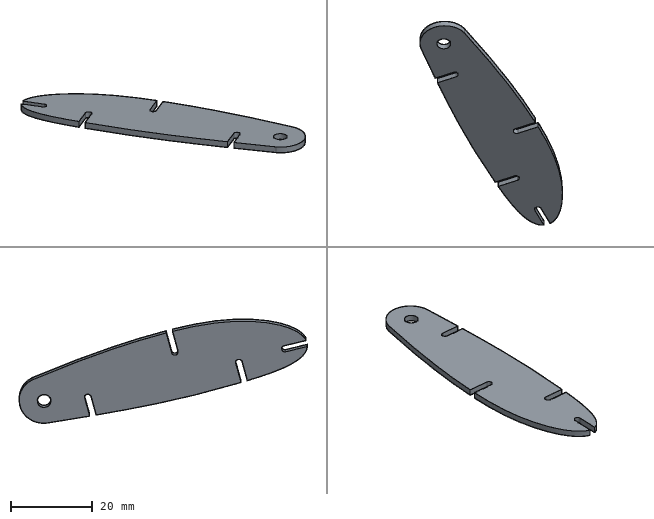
import cadquery as cq
import math


thickness = 1.6

chord = 102.4
section_depth = 17.55
thickness_ratio = section_depth / chord
camber_ratio = 0.03
camber_position = 0.26
tail_start_x = 67.15
tail_start = tail_start_x / chord
stations_per_side = 16

tail_tip_x = 72.2
tail_radius = 6.1
tail_y = 2.0
hole_diameter = 3.3
hole_x = tail_tip_x - tail_radius

slot_width = 1.6
slot_cutter_length = 14.45
nose_slot_end_x = 6.35
nose_slot_y = 0.5
upper_slot_x = 31.9
upper_slot_end_y = 5.6
lower_slots = [(17.4, 0.65), (55.5, 1.1)]


def half_thickness(s):
    """NACA four-digit half thickness at chord fraction s, as a fraction of the chord."""
    polynomial = 0.2969 * math.sqrt(s) - 0.126 * s - 0.3516 * s**2 + 0.2843 * s**3 - 0.1015 * s**4
    return 5 * thickness_ratio * polynomial


def camber(s):
    """Height and slope of the camber line at chord fraction s."""
    p = camber_position
    if s < p:
        scale = camber_ratio / p**2
        return scale * (2 * p * s - s**2), 2 * scale * (p - s)
    scale = camber_ratio / (1 - p) ** 2
    return scale * (1 - 2 * p + 2 * p * s - s**2), 2 * scale * (p - s)


def aerofoil_point(s, side):
    """Point on the upper (side = 1) or lower (side = -1) surface."""
    height, slope = camber(s)
    angle = math.atan(slope)
    offset = side * half_thickness(s)
    return (chord * (s - offset * math.sin(angle)), chord * (height + offset * math.cos(angle)))


def plate():
    """Aerofoil blank closed by the round tail; stations crowd towards the nose."""
    stations = [tail_start * (i / stations_per_side) ** 2 for i in range(stations_per_side + 1)]
    upper = [aerofoil_point(s, 1) for s in reversed(stations)]
    lower = [aerofoil_point(s, -1) for s in stations[1:]]
    return (
        cq.Workplane("XY")
        .spline(upper + lower)
        .threePointArc((tail_tip_x, tail_y), upper[0])
        .close()
        .extrude(thickness)
    )


def slot(end_x, end_y, direction):
    """Cutter whose round end reaches (end_x, end_y), running out at the given angle in degrees."""
    radius = slot_width / 2
    return (
        cq.Workplane("XY")
        .moveTo(radius, radius)
        .threePointArc((0, 0), (radius, -radius))
        .lineTo(slot_cutter_length, -radius)
        .lineTo(slot_cutter_length, radius)
        .close()
        .extrude(thickness)
        .rotate((0, 0, 0), (0, 0, 1), direction)
        .translate((end_x, end_y, 0))
    )


def keyring_hole():
    """Cutter for the hole concentric with the round tail."""
    return cq.Workplane("XY").center(hole_x, tail_y).circle(hole_diameter / 2).extrude(thickness)


result = plate().cut(keyring_hole())
result = result.cut(slot(nose_slot_end_x, nose_slot_y, 180))
result = result.cut(slot(upper_slot_x, upper_slot_end_y, 90))
for lower_x, lower_end_y in lower_slots:
    result = result.cut(slot(lower_x, lower_end_y, 270))